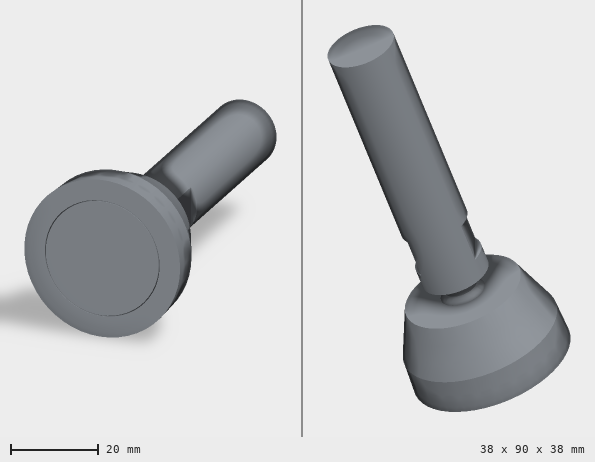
import cadquery as cq
import math

total_length = 90.0

sole_diameter = 38.0
shoulder_diameter = 37.3
foot_top_diameter = 28.0
shoulder_height = 8.2
foot_height = 20.0
groove_outer_diameter = 28.0
groove_inner_diameter = 27.5
groove_depth = 0.9

shaft_diameter = 16.0
shaft_start = 25.0
neck_diameter = 7.8
ball_diameter = 12.8
ball_top = 21.5
flat_start = 30.0
flat_length = 9.5
across_flats = 13.0

ball_radius = ball_diameter / 2
neck_radius = neck_diameter / 2
ball_center = ball_top - math.sqrt(ball_radius**2 - neck_radius**2)


def cylinder_along_y(diameter, start, end):
    """Cylinder on the Y axis between two heights."""
    return cq.Workplane("XZ", origin=(0, start, 0)).circle(diameter / 2).extrude(start - end)


def make_ball():
    """Ball that swivels in the socket of the foot."""
    return cq.Workplane("XY", origin=(0, ball_center, 0)).sphere(ball_radius)


def make_foot():
    """Tapered foot with a ball socket and a narrow ring groove in its sole."""
    body = (
        cq.Workplane("XY")
        .lineTo(sole_diameter / 2, 0)
        .lineTo(shoulder_diameter / 2, shoulder_height)
        .lineTo(foot_top_diameter / 2, foot_height)
        .lineTo(0, foot_height)
        .close()
        .revolve(360, (0, 0, 0), (0, 1, 0))
    )
    groove = cylinder_along_y(groove_outer_diameter, 0, groove_depth).cut(
        cylinder_along_y(groove_inner_diameter, 0, groove_depth)
    )
    return body.cut(groove).cut(make_ball())


def make_stud():
    """Ball, neck and shaft in one piece, with two opposite wrench flats."""
    neck = cylinder_along_y(neck_diameter, ball_center, shaft_start)
    shaft = cylinder_along_y(shaft_diameter, shaft_start, total_length)
    flat_depth = (shaft_diameter - across_flats) / 2
    for side in (-1, 1):
        flat_cut = cq.Workplane("XY").box(flat_depth, flat_length, shaft_diameter).translate(
            (side * (across_flats + flat_depth) / 2, flat_start + flat_length / 2, 0)
        )
        shaft = shaft.cut(flat_cut)
    return make_ball().union(neck).union(shaft)


foot = make_foot()
stud = make_stud()

result = cq.Compound.makeCompound([foot.solids().val(), stud.solids().val()])